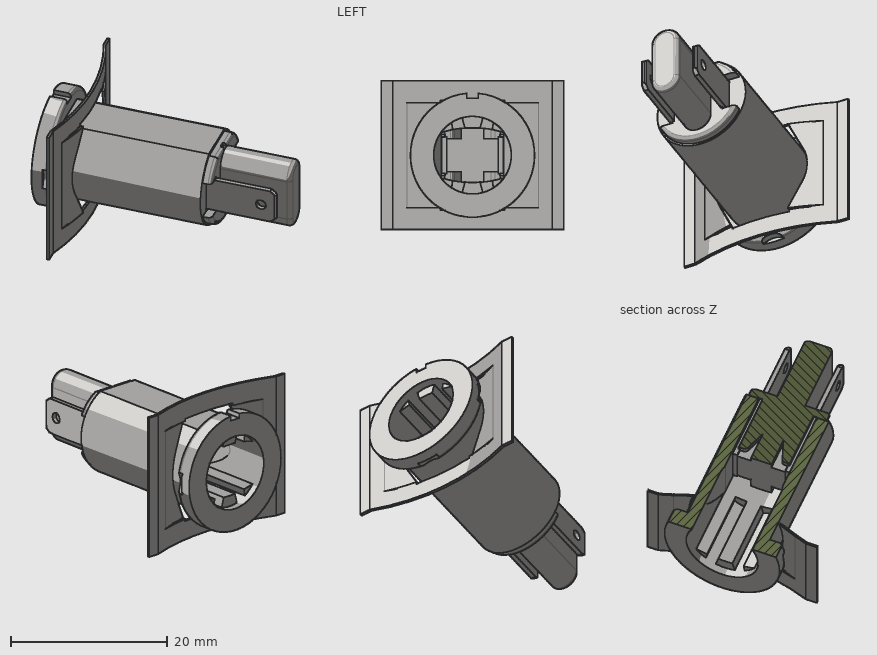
import cadquery as cq
import math


FLANGE_RADIUS = 7.95
FLANGE_LENGTH = 2.35
FLANGE_FILLET = 0.5
KEYWAY_WIDTH = 1.42
KEYWAY_FLOOR = 7.28
NOTCH_START = 1.45
NOTCH_RADIUS = 2.38
NOTCH_CENTRE = 9.7
SLEEVE_DIAMETER = 12.6
SLEEVE_RADIUS = SLEEVE_DIAMETER / 2
SLEEVE_FLAT = 5.55
SLEEVE_END = 22.32

BORE_RADIUS = 4.95
BORE_DEPTH = 10.78
RAMP_LENGTH = 4.3
RIB_START = 1.1
RIB_OVERRUN = 0.33
PASSAGE_HALF_WIDTH = 3.97
PASSAGE_CROWN = 3.5
PASSAGE_SHOULDER = 2.9
CENTRE_RIB_INNER = (0.95, 3.4)
CENTRE_RIB_OUTER = (1.3, 4.7)
SIDE_RIB_INNER = (2.5, 3.17)
SIDE_RIB_OUTER = (2.65, 4.0)

TERMINAL_INNER = 3.3
TERMINAL_THICKNESS = 0.63
TERMINAL_HALF_HEIGHT = 2.35
TERMINAL_START = 13.23
TERMINAL_END = 31.78
TERMINAL_CORNER_LENGTH = 0.83
TERMINAL_CORNER_HEIGHT = 0.65
TERMINAL_TIP_LENGTH = 0.25
TERMINAL_TIP_DEPTH = 0.2
TERMINAL_HOLE_DIAMETER = 1.35
TERMINAL_HOLE_X = 29.7

PLUG_START = TERMINAL_START
PLUG_HALF_WIDTH = 3.55
CORE_HALF_WIDTH = 1.42
CORE_HALF_HEIGHT = 2.1
LEDGE_DEPTH = 1.0
LEDGE_EDGE = 2.85
POCKET_DEPTH = 5.13
LEDGE_ROUND = 0.53
COLLAR_RADIUS = 6.02
COLLAR_FLAT = 5.25
COLLAR_END = 23.5
COLLAR_FILLET = 0.5
COLLAR_SLOT_HALF_HEIGHT = 2.6
COLLAR_NICK_WIDTH = 0.85
SPADE_END = 33.07
SPADE_THICKNESS = 3.87
SPADE_HEIGHT = 9.65
SPADE_FILLET = 0.6

CLIP_WIDTH = 23.38
CLIP_HEIGHT = 19.05
CLIP_THICKNESS = 0.33
CLIP_START = 3.4
CLIP_BOW_HALF_WIDTH = 10.2
CLIP_BOW_DEPTH = 1.82
TAB_ROOT = 8.4
TAB_TIP = 3.95
TAB_BEND_ANGLE = 5.5
TAB_HALF_HEIGHT = 6.7
WINDOW_HALF_WIDTH = 4.07
WINDOW_HALF_HEIGHT = 7.0
CLIP_HOLE_RADIUS = 6.4


def rod(radius, start, end):
    """Cylinder on the X axis."""
    return cq.Workplane("YZ", origin=(start, 0, 0)).circle(radius).extrude(end - start)


def box(x_range, y_range, z_range):
    """Box given by its limits along each axis."""
    limits = (x_range, y_range, z_range)
    sizes = [high - low for low, high in limits]
    return cq.Workplane("XY", origin=[low for low, high in limits]).box(*sizes, centered=False)


def flat_topped_rod(radius, flat, start, end):
    """Cylinder on the X axis with one flat along its top."""
    body = rod(radius, start, end)
    return body.intersect(box((start, end), (-radius, radius), (-radius, flat)))


def passage(start, end, half_width):
    """Prism with gently arched top and bottom, cut to the given half width."""
    side, crown, shoulder = PASSAGE_HALF_WIDTH, PASSAGE_CROWN, PASSAGE_SHOULDER
    arched = (
        cq.Workplane("YZ", origin=(start, 0, 0))
        .moveTo(-side, -shoulder)
        .threePointArc((0, -crown), (side, -shoulder))
        .lineTo(side, shoulder)
        .threePointArc((0, crown), (-side, shoulder))
        .close()
        .extrude(end - start)
    )
    return arched.intersect(box((start, end), (-half_width, half_width), (-crown, crown)))



def extend_line(inner, outer, distance):
    """Point on the line from inner through outer, moved on past outer by the given distance."""
    dy, dz = outer[0] - inner[0], outer[1] - inner[1]
    length = math.hypot(dy, dz)
    return (outer[0] + dy / length * distance, outer[1] + dz / length * distance)


def make_ribs():
    """Six lengthwise ribs: a central one and two side ones, at the top and at the bottom."""
    length = BORE_DEPTH - RIB_START
    reach = 2 * BORE_RADIUS
    centre_far = extend_line(CENTRE_RIB_INNER, CENTRE_RIB_OUTER, reach)
    centre_near = extend_line(CENTRE_RIB_OUTER, CENTRE_RIB_INNER, RIB_OVERRUN)
    side_far = extend_line(SIDE_RIB_INNER, SIDE_RIB_OUTER, reach)
    side_near = extend_line(SIDE_RIB_OUTER, SIDE_RIB_INNER, RIB_OVERRUN)
    plane = cq.Workplane("YZ", origin=(RIB_START, 0, 0))
    centre_outline = [
        centre_near,
        centre_far,
        (-centre_far[0], centre_far[1]),
        (-centre_near[0], centre_near[1]),
    ]
    side_outline = [
        side_near,
        side_far,
        (reach, side_far[1]),
        (reach, PASSAGE_SHOULDER),
        (side_near[0], PASSAGE_SHOULDER),
    ]
    ribs = plane.polyline(centre_outline).close().extrude(length)
    side_rib = plane.polyline(side_outline).close().extrude(length)
    ribs = ribs.union(side_rib).union(side_rib.mirror("XZ"))
    ribs = ribs.union(ribs.mirror("XY"))
    return ribs.cut(passage(RIB_START, BORE_DEPTH, PASSAGE_HALF_WIDTH))


def make_bore():
    """Round bore whose sides ramp in to the passage width at its far end."""
    ramp_start = BORE_DEPTH - RAMP_LENGTH
    ramped_plan = (
        cq.Workplane("XY", origin=(0, 0, -BORE_RADIUS))
        .polyline([
            (0, BORE_RADIUS),
            (ramp_start, BORE_RADIUS),
            (BORE_DEPTH, PASSAGE_HALF_WIDTH),
            (BORE_DEPTH, -PASSAGE_HALF_WIDTH),
            (ramp_start, -BORE_RADIUS),
            (0, -BORE_RADIUS),
        ])
        .close()
        .extrude(2 * BORE_RADIUS)
    )
    return rod(BORE_RADIUS, 0, BORE_DEPTH).intersect(ramped_plan).cut(make_ribs())


def make_housing():
    flange = rod(FLANGE_RADIUS, 0, FLANGE_LENGTH).faces(">X").edges().fillet(FLANGE_FILLET)
    half_key = KEYWAY_WIDTH / 2
    flange = flange.cut(
        box((0, FLANGE_LENGTH), (-half_key, half_key), (KEYWAY_FLOOR, FLANGE_RADIUS))
    )
    notch = rod(NOTCH_RADIUS, NOTCH_START, FLANGE_LENGTH).translate((0, 0, -NOTCH_CENTRE))
    for angle in (-90, 0, 90):
        flange = flange.cut(notch.rotate((0, 0, 0), (1, 0, 0), angle))
    sleeve = flat_topped_rod(SLEEVE_RADIUS, SLEEVE_FLAT, 0, SLEEVE_END)
    housing = flange.union(sleeve)
    return housing.cut(make_bore()).cut(passage(0, SLEEVE_END, PASSAGE_HALF_WIDTH))



def make_corner_pocket():
    """Pocket in one front corner of the plug: a ledge that rolls over into a slope."""
    ledge_x = PLUG_START + LEDGE_DEPTH
    floor_x = PLUG_START + POCKET_DEPTH
    slope_angle = math.atan2(floor_x - ledge_x, LEDGE_EDGE - CORE_HALF_WIDTH)
    tangent = LEDGE_ROUND * math.tan(slope_angle / 2)
    corner_y = LEDGE_EDGE - tangent
    slope_x = ledge_x + tangent * math.sin(slope_angle)
    slope_y = corner_y - tangent * math.cos(slope_angle)
    middle_x = ledge_x + LEDGE_ROUND * (1 - math.cos(slope_angle / 2))
    middle_y = LEDGE_EDGE - LEDGE_ROUND * math.sin(slope_angle / 2)
    deepest_x = slope_x + (slope_y - CORE_HALF_WIDTH) * math.tan(slope_angle)
    return (
        cq.Workplane("XY", origin=(0, 0, CORE_HALF_HEIGHT))
        .moveTo(PLUG_START, PLUG_HALF_WIDTH)
        .lineTo(ledge_x, PLUG_HALF_WIDTH)
        .lineTo(ledge_x, LEDGE_EDGE)
        .threePointArc((middle_x, middle_y), (slope_x, slope_y))
        .lineTo(deepest_x, CORE_HALF_WIDTH)
        .lineTo(PLUG_START, CORE_HALF_WIDTH)
        .close()
        .extrude(PASSAGE_CROWN - CORE_HALF_HEIGHT)
    )


def make_insert():
    plug = passage(PLUG_START, SLEEVE_END, PLUG_HALF_WIDTH)
    pocket = make_corner_pocket()
    for corner in (pocket, pocket.mirror("XZ")):
        plug = plug.cut(corner).cut(corner.mirror("XY"))

    collar = flat_topped_rod(COLLAR_RADIUS, COLLAR_FLAT, SLEEVE_END, COLLAR_END)
    collar = collar.faces(">X").edges().fillet(COLLAR_FILLET)
    half_nick = COLLAR_NICK_WIDTH / 2
    collar = collar.cut(box(
        (COLLAR_END - COLLAR_FILLET, COLLAR_END),
        (-half_nick, half_nick),
        (SPADE_HEIGHT / 2, COLLAR_FLAT),
    ))

    spade = (
        cq.Workplane("YZ", origin=(SLEEVE_END, 0, 0))
        .slot2D(SPADE_HEIGHT, SPADE_THICKNESS, 90)
        .extrude(SPADE_END - SLEEVE_END)
        .faces(">X").edges().fillet(SPADE_FILLET)
    )
    insert = plug.union(collar).union(spade)

    seat = box(
        (PLUG_START, COLLAR_END),
        (TERMINAL_INNER, COLLAR_RADIUS),
        (-TERMINAL_HALF_HEIGHT, TERMINAL_HALF_HEIGHT),
    )
    slot = box(
        (PLUG_START, COLLAR_END),
        (PLUG_HALF_WIDTH, COLLAR_RADIUS),
        (-COLLAR_SLOT_HALF_HEIGHT, COLLAR_SLOT_HALF_HEIGHT),
    )
    for cutter in (seat, slot):
        insert = insert.cut(cutter).cut(cutter.mirror("XZ"))
    return insert



def make_terminal(side):
    """Flat blade terminal on the +Y (side = 1) or -Y (side = -1) side."""
    inner, outer = TERMINAL_INNER, TERMINAL_INNER + TERMINAL_THICKNESS
    half = TERMINAL_HALF_HEIGHT
    tip_x = TERMINAL_END - TERMINAL_TIP_LENGTH
    blade = (
        cq.Workplane("XY", origin=(0, 0, -half))
        .polyline([
            (TERMINAL_START, inner),
            (tip_x, inner),
            (TERMINAL_END, inner + TERMINAL_TIP_DEPTH),
            (TERMINAL_END, outer - TERMINAL_TIP_DEPTH),
            (tip_x, outer),
            (TERMINAL_START, outer),
        ])
        .close()
        .extrude(2 * half)
    )
    corner_x = TERMINAL_END - TERMINAL_CORNER_LENGTH
    corner_z = half - TERMINAL_CORNER_HEIGHT
    outline = (
        cq.Workplane("XZ", origin=(0, outer, 0))
        .polyline([
            (TERMINAL_START, half),
            (corner_x, half),
            (TERMINAL_END, corner_z),
            (TERMINAL_END, -corner_z),
            (corner_x, -half),
            (TERMINAL_START, -half),
        ])
        .close()
        .moveTo(TERMINAL_HOLE_X, 0)
        .circle(TERMINAL_HOLE_DIAMETER / 2)
        .extrude(TERMINAL_THICKNESS)
    )
    terminal = blade.intersect(outline)
    return terminal if side > 0 else terminal.mirror("XZ")



def bow_offset(y):
    """How far the bowed part of the clip stands back from its edge strips at the given Y."""
    radius = (CLIP_BOW_HALF_WIDTH ** 2 + CLIP_BOW_DEPTH ** 2) / (2 * CLIP_BOW_DEPTH)
    return CLIP_BOW_DEPTH - radius + math.sqrt(radius ** 2 - y ** 2)


def make_bowed_strip():
    """Full clip blank: two flat edge strips joined by a shallow bow."""
    front, back = CLIP_START, CLIP_START + CLIP_THICKNESS
    edge, bow = CLIP_WIDTH / 2, CLIP_BOW_HALF_WIDTH
    return (
        cq.Workplane("XY", origin=(0, 0, -CLIP_HEIGHT / 2))
        .moveTo(front, -edge)
        .lineTo(front, -bow)
        .threePointArc((front + CLIP_BOW_DEPTH, 0), (front, bow))
        .lineTo(front, edge)
        .lineTo(back, edge)
        .lineTo(back, bow)
        .threePointArc((back + CLIP_BOW_DEPTH, 0), (back, -bow))
        .lineTo(back, -edge)
        .close()
        .extrude(CLIP_HEIGHT)
    )


def make_tab_cutout(x_range):
    """Hole around the sleeve, widened by straight tangents that run to the tab corners."""
    start, end = x_range
    corner_angle = math.atan2(TAB_HALF_HEIGHT, TAB_TIP)
    tangent_angle = corner_angle - math.acos(CLIP_HOLE_RADIUS / math.hypot(TAB_TIP, TAB_HALF_HEIGHT))
    tangent_y = CLIP_HOLE_RADIUS * math.cos(tangent_angle)
    tangent_z = CLIP_HOLE_RADIUS * math.sin(tangent_angle)
    return (
        cq.Workplane("YZ", origin=(start, 0, 0))
        .moveTo(0, -TAB_HALF_HEIGHT)
        .lineTo(TAB_TIP, -TAB_HALF_HEIGHT)
        .lineTo(tangent_y, -tangent_z)
        .threePointArc((CLIP_HOLE_RADIUS, 0), (tangent_y, tangent_z))
        .lineTo(TAB_TIP, TAB_HALF_HEIGHT)
        .lineTo(0, TAB_HALF_HEIGHT)
        .close()
        .extrude(end - start)
    )


def make_clip():
    strip = make_bowed_strip()
    bow_range = (CLIP_START, CLIP_START + CLIP_THICKNESS + CLIP_BOW_DEPTH)
    tab_heights = (-TAB_HALF_HEIGHT, TAB_HALF_HEIGHT)
    window = box(
        bow_range,
        (-WINDOW_HALF_WIDTH, WINDOW_HALF_WIDTH),
        (-WINDOW_HALF_HEIGHT, WINDOW_HALF_HEIGHT),
    )
    tab_opening = box(bow_range, (-TAB_ROOT, TAB_ROOT), tab_heights)
    frame = strip.cut(window).cut(tab_opening)

    tab = strip.intersect(box(bow_range, (TAB_TIP, TAB_ROOT), tab_heights))
    tab = tab.cut(make_tab_cutout(bow_range))
    root_x = CLIP_START + bow_offset(TAB_ROOT)
    tab = tab.rotate((root_x, TAB_ROOT, 0), (root_x, TAB_ROOT, 1), TAB_BEND_ANGLE)
    return frame.union(tab).union(tab.mirror("XZ"))


housing = make_housing()
insert = make_insert()
terminals = [make_terminal(side) for side in (1, -1)]
clip = make_clip()

result = cq.Compound.makeCompound(
    [housing.val(), insert.val(), clip.val(), *[terminal.val() for terminal in terminals]]
)